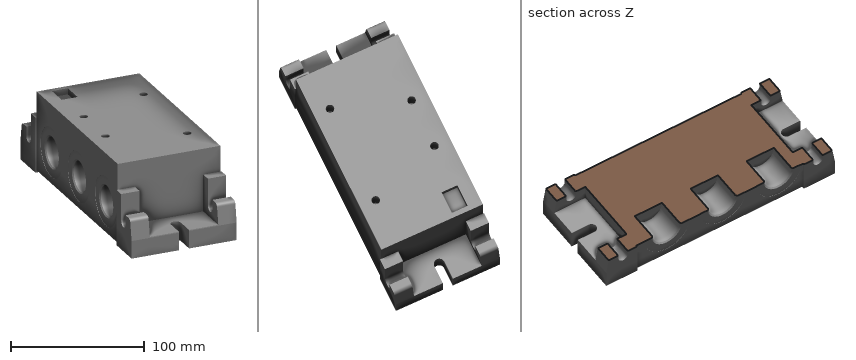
import cadquery as cq
import math

body_width = 148.88
body_depth = 84.0
body_bottom = 1.75
body_top = 66.0
body_center_x = -2.75

port_pitch = 50.0
port_count = 3
port_height = 27.1
port_bore = 24.12
port_mouth = 26.2
port_spotface = 40.0
spotface_depth = 0.2
port_depth = 25.0
port_chamfer = (port_mouth - port_bore) / 2

hole_diameter = 6.4
hole_depth = 15.0
hole_row_y = 29.0
rear_hole_spacing = 80.0
front_hole_spacing = 40.0

pocket_width = 18.0
pocket_length = 13.0
pocket_depth = 5.0
pocket_side_margin = 3.8
pocket_front_margin = 10.8

bracket_length = 27.75
bracket_depth = 86.0
floor_height = 15.0
lean_start_height = 14.3
lug_thickness = 15.0
outer_lug_height = 31.0
inner_lug_height = 45.0
lug_lean = 2.8
lug_round = 3.0
slot_width = 8.2
slot_center = 15.1
lug_slot_bottom = 19.7


def make_body():
    height = body_top - body_bottom
    block = cq.Workplane("XY").box(body_width, body_depth, height, centered=(True, True, False))
    return block.translate((body_center_x, 0, body_bottom))


def cut_ports(body):
    """Chamfered blind bores, each in a shallow round spotface."""
    face_y = -body_depth / 2
    seat_y = face_y + spotface_depth
    half_section = [
        (0, 0),
        (port_mouth / 2, 0),
        (port_bore / 2, port_chamfer),
        (port_bore / 2, port_depth),
        (0, port_depth),
    ]
    bore = cq.Workplane("XY").polyline(half_section).close().revolve(360, (0, 0, 0), (0, 1, 0))
    spotface = cq.Workplane("XZ").circle(port_spotface / 2).extrude(spotface_depth)
    cutter = bore.union(spotface).translate((0, seat_y, port_height))
    for index in range(port_count):
        x = (index - (port_count - 1) / 2) * port_pitch
        body = body.cut(cutter.translate((x, 0, 0)))
    return body


def cut_top_holes(body):
    rows = [(rear_hole_spacing, hole_row_y), (front_hole_spacing, -hole_row_y)]
    centers = [(side * spacing / 2, y) for spacing, y in rows for side in (-1, 1)]
    holes = cq.Workplane("XY", origin=(0, 0, body_top)).pushPoints(centers)
    return body.cut(holes.circle(hole_diameter / 2).extrude(-hole_depth))


def cut_pocket(body):
    corner_x = body_center_x - body_width / 2 + pocket_side_margin
    corner_y = -body_depth / 2 + pocket_front_margin
    pocket = cq.Workplane("XY").box(pocket_width, pocket_length, pocket_depth, centered=False)
    return body.cut(pocket.translate((corner_x, corner_y, body_top - pocket_depth)))


def make_bracket():
    """Bracket with its outer end at X = 0, reaching toward +X."""
    slot_radius = slot_width / 2
    slot_outer = slot_center - slot_radius
    slot_inner = slot_center + slot_radius
    arc_center_z = lug_slot_bottom + slot_radius

    lean_angle = math.atan2(lug_lean, outer_lug_height - lean_start_height)
    tangent_length = lug_round * math.tan((math.pi / 2 - lean_angle) / 2)
    lean_end = (
        lug_lean - tangent_length * math.sin(lean_angle),
        outer_lug_height - tangent_length * math.cos(lean_angle),
    )
    top_start = (lug_lean + tangent_length, outer_lug_height)

    profile = (
        cq.Workplane("XZ", origin=(0, bracket_depth / 2, 0))
        .moveTo(0, 0)
        .lineTo(0, lean_start_height)
        .lineTo(*lean_end)
        .radiusArc(top_start, lug_round)
        .lineTo(slot_outer, outer_lug_height)
        .lineTo(slot_outer, arc_center_z)
        .threePointArc((slot_center, lug_slot_bottom), (slot_inner, arc_center_z))
        .lineTo(slot_inner, inner_lug_height)
        .lineTo(bracket_length, inner_lug_height)
        .lineTo(bracket_length, 0)
        .close()
    )
    bracket = profile.extrude(bracket_depth)

    gap_width = bracket_depth - 2 * lug_thickness
    gap_height = inner_lug_height - floor_height
    gap = cq.Workplane("XY", origin=(0, 0, floor_height)).box(
        bracket_length, gap_width, gap_height, centered=(False, True, False)
    )

    slot = cq.Workplane("XY").rect(2 * slot_center, slot_width).extrude(floor_height)
    slot_end = cq.Workplane("XY").center(slot_center, 0).circle(slot_radius).extrude(floor_height)
    return bracket.cut(gap).cut(slot).cut(slot_end)


body = cut_pocket(cut_top_holes(cut_ports(make_body())))

outer_end = body_width / 2 + bracket_length
left_bracket = make_bracket().translate((-outer_end, 0, 0))
right_bracket = left_bracket.mirror("YZ")
brackets = left_bracket.union(right_bracket).translate((body_center_x, 0, 0))

result = body.union(brackets)